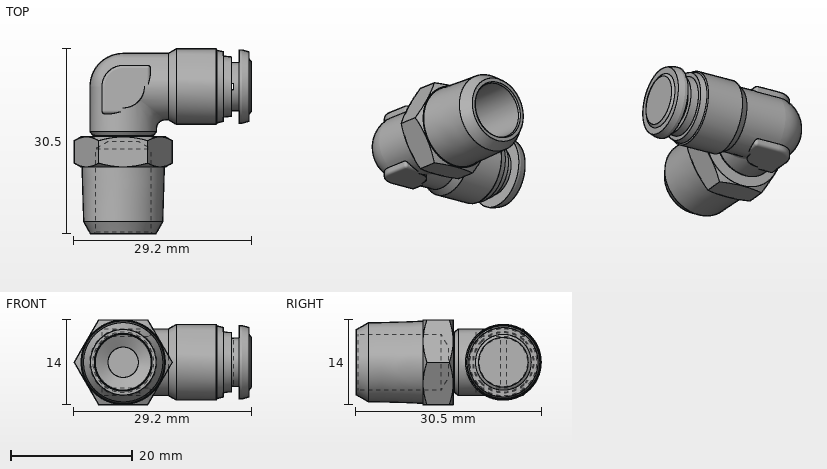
import cadquery as cq
import math


body_radius = 5.5
bend_fillet = 1.4
body_end = 7.4
body_chamfer_length = 0.65
body_chamfer_depth = 0.5

neck_radius = 4.7

hex_across_flats = 14.0
hex_height = 5.0
hex_start = 8.25
hex_end = hex_start + hex_height
hex_corner_radius = hex_across_flats / math.sqrt(3)
hex_face_radius = 6.95
hex_chamfer_angle = 30.0

thread_length = 11.0
thread_end = hex_end + thread_length
thread_root_radius = 6.8
thread_tip_radius = 6.53
thread_chamfer_length = 2.0
thread_end_radius = 5.4
bore_radius = 4.6
bore_chamfer_depth = 0.17
bore_chamfer_length = 0.3
bore_depth = 14.0
bore_floor_radius = 2.5
bore_floor_angle = 60.0

sleeve_start = 7.45
sleeve_cone_end = 8.75
sleeve_end = 15.3
sleeve_radius = 6.25

collar_start = 15.45
collar_end = 16.5
collar_start_radius = 6.0
collar_end_radius = 5.75

shoulder_end = 17.85
shoulder_start_radius = 5.05
shoulder_end_radius = 4.9
ring_neck_radius = 4.0
flange_start = 19.1
flange_rim_end = 19.6
flange_taper_end = 20.5
flange_end = 20.75
flange_radius = 6.05
flange_taper_radius = 5.8
flange_end_radius = 5.7
lip_start_radius = 4.6
lip_end = 21.1
lip_end_radius = 4.1

slit_length = 0.28
slit_width = 1.0

pad_side = 3.5
pad_reach = 4.5
pad_fillet = 0.5
position_tolerance = 0.01


def revolve_about_x(profile):
    """Revolve (distance along +X, radius) points about the X axis."""
    outline = [(profile[0][0], 0), *profile, (profile[-1][0], 0)]
    return cq.Workplane("XY").polyline(outline).close().revolve(360, (0, 0), (1, 0))


def revolve_about_y(profile):
    """Revolve (distance along -Y, radius) points about the Y axis."""
    points = [(radius, -distance) for distance, radius in profile]
    outline = [(0, points[0][1]), *points, (0, points[-1][1])]
    return cq.Workplane("XY").polyline(outline).close().revolve(360, (0, 0), (0, 1))


def make_elbow():
    """Two cylinders and a ball, with the inner edge of the bend rounded."""
    tube_branch = revolve_about_x([(0, body_radius), (sleeve_start, body_radius)])
    thread_branch = revolve_about_y([
        (0, body_radius),
        (body_end, body_radius),
        (body_end + body_chamfer_length, body_radius - body_chamfer_depth),
    ])
    elbow = tube_branch.union(thread_branch)
    inner_bend_edges = elbow.edges("%ELLIPSE")
    elbow = inner_bend_edges.fillet(bend_fillet)
    return elbow.union(cq.Workplane("XY").sphere(body_radius))


def make_threaded_end():
    """Neck and taper thread envelope, overlapping into the elbow body."""
    return revolve_about_y([
        (body_end, neck_radius),
        (hex_end, neck_radius),
        (hex_end, thread_root_radius),
        (thread_end - thread_chamfer_length, thread_tip_radius),
        (thread_end, thread_end_radius),
    ])


def make_hexagon():
    """Hexagon with flats on top and bottom and both faces chamfered."""
    prism = (
        cq.Workplane("XZ", origin=(0, -hex_start, 0))
        .polygon(6, 2 * hex_corner_radius)
        .extrude(hex_height)
    )
    corner_drop = (hex_corner_radius - hex_face_radius) * math.tan(math.radians(hex_chamfer_angle))
    chamfer_envelope = revolve_about_y([
        (hex_start, hex_face_radius),
        (hex_start + corner_drop, hex_corner_radius),
        (hex_end - corner_drop, hex_corner_radius),
        (hex_end, hex_face_radius),
    ])
    return prism.intersect(chamfer_envelope)


def make_bore():
    """Blind bore from the thread end with a conical floor around a flat centre."""
    floor_start = thread_end - bore_depth
    floor_depth = (bore_radius - bore_floor_radius) / math.tan(math.radians(bore_floor_angle))
    return revolve_about_y([
        (floor_start - floor_depth, bore_floor_radius),
        (floor_start, bore_radius),
        (thread_end - bore_chamfer_length, bore_radius),
        (thread_end, bore_radius + bore_chamfer_depth),
    ])


def make_tube_end():
    """Sleeve, collar and release ring turned about the tube axis."""
    return revolve_about_x([
        (sleeve_start, body_radius),
        (sleeve_cone_end, sleeve_radius),
        (sleeve_end, sleeve_radius),
        (collar_start, collar_start_radius),
        (collar_end, collar_end_radius),
        (collar_end, shoulder_start_radius),
        (shoulder_end, shoulder_end_radius),
        (shoulder_end, ring_neck_radius),
        (flange_start, ring_neck_radius),
        (flange_start, flange_radius),
        (flange_rim_end, flange_radius),
        (flange_taper_end, flange_taper_radius),
        (flange_end, flange_end_radius),
        (flange_end, lip_start_radius),
        (lip_end, lip_end_radius),
    ])


def make_ring_slit():
    """Narrow slit passing vertically through the release ring neck."""
    return cq.Workplane("XY").box(
        slit_length, slit_width, 2 * sleeve_radius, centered=(False, True, True)
    ).translate((shoulder_end, 0, 0))


def is_inner_edge(edge):
    """True for the pad edges that lie on the branch axes inside the bend."""
    middle = edge.Center()
    on_tube_axis = abs(middle.y) < position_tolerance
    on_thread_axis = abs(middle.x) < position_tolerance
    return on_tube_axis or on_thread_axis


def make_pads():
    """L-shaped pads flush with the body top and bottom, and a quarter disc inside the bend."""
    height = 2 * body_radius
    arc_middle = pad_side * math.sqrt(0.5)
    pad = (
        cq.Workplane("XY", origin=(0, 0, -body_radius))
        .moveTo(-pad_side, -pad_reach)
        .lineTo(0, -pad_reach)
        .lineTo(0, 0)
        .lineTo(pad_reach, 0)
        .lineTo(pad_reach, pad_side)
        .lineTo(0, pad_side)
        .threePointArc((-arc_middle, arc_middle), (-pad_side, 0))
        .close()
        .extrude(height)
    )
    nearest = cq.selectors.NearestToPointSelector
    pad = pad.edges(nearest((pad_reach, pad_side, 0))).fillet(pad_fillet)
    pad = pad.edges(nearest((-pad_side, -pad_reach, 0))).fillet(pad_fillet)
    rim = pad.faces("|Z").edges().filter(lambda edge: not is_inner_edge(edge))
    pad = rim.fillet(pad_fillet)
    bend_filler = (
        cq.Workplane("XY", origin=(0, 0, -body_radius))
        .moveTo(0, 0)
        .lineTo(0, -pad_side)
        .threePointArc((arc_middle, -arc_middle), (pad_side, 0))
        .close()
        .extrude(height)
    )
    return pad.union(bend_filler)


result = (
    make_elbow()
    .union(make_pads())
    .union(make_tube_end())
    .union(make_threaded_end())
    .union(make_hexagon())
    .cut(make_bore())
    .cut(make_ring_slit())
)